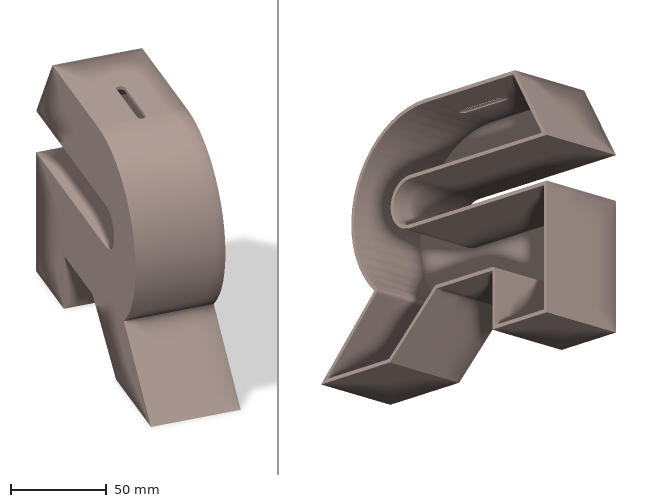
import cadquery as cq
import math

length = 170.0
depth = 50.0
height = 138.0
wall = 2.0

arm_tip_x = 24.0
bowl_start_x = 91.5
bowl_radius = 55.8
bowl_center_z = height - bowl_radius
bowl_end_x = 129.9

gap_bottom = 72.0
gap_top = 97.0
gap_radius = (gap_top - gap_bottom) / 2
gap_center_x = 103.0

left_leg_width = 41.0
crotch_z = 32.3
crotch_right_x = 83.1
foot_left_x = 118.2

slot_width = 4.6
slot_length = 35.0


def lower_bowl_z(x):
    """Height of the bowl circle at x, below its centre."""
    return bowl_center_z - math.sqrt(bowl_radius**2 - (x - bowl_start_x) ** 2)


def letter_outline():
    """Closed outline of the letter R in the XZ plane."""
    return (
        cq.Workplane("XZ")
        .moveTo(0, 0)
        .lineTo(left_leg_width, 0)
        .lineTo(left_leg_width, crotch_z)
        .lineTo(crotch_right_x, crotch_z)
        .lineTo(foot_left_x, 0)
        .lineTo(length, 0)
        .lineTo(bowl_end_x, lower_bowl_z(bowl_end_x))
        .threePointArc((bowl_start_x + bowl_radius, bowl_center_z), (bowl_start_x, height))
        .lineTo(arm_tip_x, height)
        .lineTo(0, gap_top)
        .lineTo(gap_center_x, gap_top)
        .threePointArc(
            (gap_center_x + gap_radius, gap_bottom + gap_radius),
            (gap_center_x, gap_bottom),
        )
        .lineTo(0, gap_bottom)
        .close()
    )


body = letter_outline().extrude(-depth)
shell = body.faces(">Y").shell(-wall)

slot = (
    cq.Workplane("XY", origin=(bowl_start_x - slot_length / 2, depth / 2, height))
    .slot2D(slot_length, slot_width)
    .extrude(-2 * wall)
)

result = shell.cut(slot)